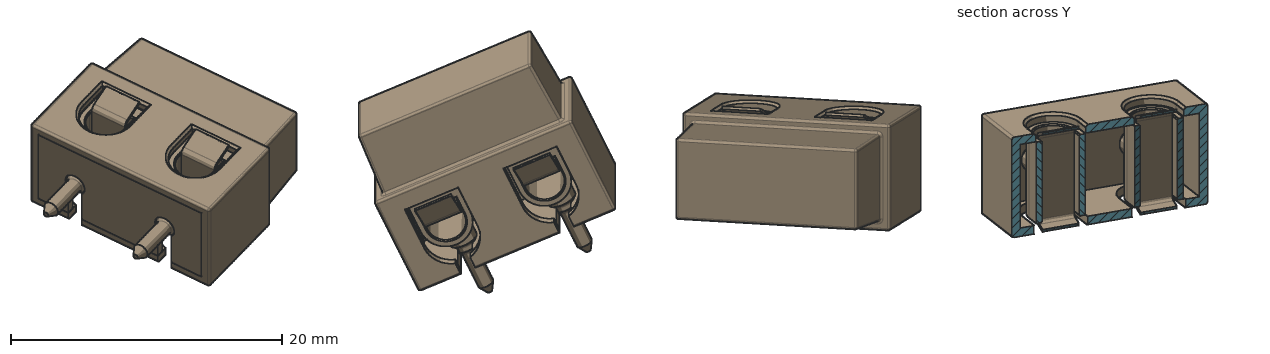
import cadquery as cq
import math


BLOCK_X = 16.0
BLOCK_Y = 8.0
BLOCK_Z = 8.0
EDGE_R = 0.2

NOSE_LENGTH = 5.0
NOSE_BASE_X = 14.52
NOSE_BASE_Z = 6.59
NOSE_DRAFT = 3.0

WALL = 0.7
CAVITY_X = BLOCK_X - 2 * WALL
CAVITY_Z = BLOCK_Z - 2 * WALL
CAVITY_BACK_Y = BLOCK_Y - WALL
COVER_T = 0.59

PITCH = BLOCK_X / 2
POLE_XS = (-PITCH / 2, PITCH / 2)
CONTACT_LIFTS = (-0.03, 0.05)
ARC_Y = 4.03

MOUTH_R = 2.0
MOUTH_FLAT_Y = 6.52
MOUTH_CHAMFER = 0.2
LOADING_R = 2.17
LOADING_ARC_Y = 3.09

TUBE_HALF_Z = 3.25
BORE_R = 1.5
BORE_FLAT_Y = 5.48
BORE_CHAMFER = 0.1
PIN_R = 0.6
PIN_TIP_R = 0.2
PIN_SHOULDER_Y = -3.1
PIN_TIP_Y = -3.8
FLARE_START_Y = -0.07
COLLAR_R = 0.85
COLLAR_FOOT_R = 0.2
SLOT_X = 1.2

GUARD_X = 2.95
GUARD_FRONT_Y = 4.33
GUARD_T = 0.2
GUARD_BEND_R = 0.52
GUARD_TILT = 20.6
GUARD_TIP_Y = 6.23
GUARD_TIP_Z = 4.28


def d_prism(z_from, height, radius, flat_y, arc_y=ARC_Y, taper=0):
    """D-shaped prism: round towards -Y, flat on the +Y side."""
    return (
        cq.Workplane("XY", origin=(0, 0, z_from))
        .moveTo(-radius, flat_y)
        .lineTo(-radius, arc_y)
        .threePointArc((0, arc_y - radius), (radius, arc_y))
        .lineTo(radius, flat_y)
        .close()
        .extrude(height, taper=taper)
    )


def flared_d_opening(half_z, radius, flat_y, chamfer):
    """D-shaped cutter from Z = 0 up to half_z, with a 45 degree chamfer around its upper rim."""
    straight = d_prism(0, half_z, radius, flat_y)
    flare = d_prism(half_z, -chamfer, radius + chamfer, flat_y + chamfer, taper=45)
    return straight.union(flare)


def insertion_slot(y_to, z_top):
    """Cutter for the slot that runs from the underside up to z_top, and forward to y_to."""
    half_z = BLOCK_Z / 2
    return cq.Workplane("XY", origin=(0, 0, -half_z)).box(
        SLOT_X, y_to, half_z + z_top, centered=(True, False, False)
    )


def make_housing():
    block = cq.Workplane("XZ").rect(BLOCK_X, BLOCK_Z).extrude(-BLOCK_Y).edges().fillet(EDGE_R)
    nose = (
        cq.Workplane("XZ", origin=(0, BLOCK_Y, 0))
        .rect(NOSE_BASE_X, NOSE_BASE_Z)
        .extrude(-NOSE_LENGTH, taper=NOSE_DRAFT)
        .edges("not <Y")
        .fillet(EDGE_R)
    )
    housing = block.union(nose)
    foot_edges = cq.selectors.BoxSelector(
        (-NOSE_BASE_X / 2 - EDGE_R, BLOCK_Y - EDGE_R, -NOSE_BASE_Z / 2 - EDGE_R),
        (NOSE_BASE_X / 2 + EDGE_R, BLOCK_Y + EDGE_R, NOSE_BASE_Z / 2 + EDGE_R),
    )
    housing = housing.edges(foot_edges).fillet(EDGE_R)
    housing = housing.cut(cq.Workplane("XZ").rect(CAVITY_X, CAVITY_Z).extrude(-CAVITY_BACK_Y))

    half_z = BLOCK_Z / 2
    mouth = flared_d_opening(half_z, MOUTH_R, MOUTH_FLAT_Y, MOUTH_CHAMFER)
    loading_opening = d_prism(-half_z, half_z, LOADING_R, MOUTH_FLAT_Y, LOADING_ARC_Y)
    slot = insertion_slot(LOADING_ARC_Y, 0)
    for x in POLE_XS:
        for cutter in (mouth, loading_opening, slot):
            housing = housing.cut(cutter.translate((x, 0, 0)))
    return housing


def make_cover():
    cover = cq.Workplane("XZ").rect(CAVITY_X, CAVITY_Z).extrude(-COVER_T)
    for x, lift in zip(POLE_XS, CONTACT_LIFTS):
        collar_hole = cq.Workplane("XZ", origin=(x, 0, lift)).circle(COLLAR_R).extrude(-COVER_T)
        cover = cover.cut(collar_hole).cut(insertion_slot(COVER_T, lift).translate((x, 0, 0)))
    return cover


def make_contact(x, lift):
    tube = d_prism(-TUBE_HALF_Z, 2 * TUBE_HALF_Z, MOUTH_R, MOUTH_FLAT_Y)
    upper_bore = flared_d_opening(TUBE_HALF_Z, BORE_R, BORE_FLAT_Y, BORE_CHAMFER)
    bore = upper_bore.union(upper_bore.mirror("XY"))

    flare_r = COLLAR_R - PIN_R
    flare_end_y = FLARE_START_Y + flare_r
    shank_r = COLLAR_R + COLLAR_FOOT_R
    shank_y = COVER_T + COLLAR_FOOT_R
    half_root = math.sqrt(0.5)
    pin = (
        cq.Workplane("ZY")
        .moveTo(0, PIN_TIP_Y)
        .lineTo(PIN_TIP_R, PIN_TIP_Y)
        .lineTo(PIN_R, PIN_SHOULDER_Y)
        .lineTo(PIN_R, FLARE_START_Y)
        .threePointArc(
            (COLLAR_R - flare_r * half_root, FLARE_START_Y + flare_r * half_root),
            (COLLAR_R, flare_end_y),
        )
        .lineTo(COLLAR_R, COVER_T)
        .threePointArc(
            (shank_r - COLLAR_FOOT_R * half_root, COVER_T + COLLAR_FOOT_R * half_root),
            (shank_r, shank_y),
        )
        .lineTo(shank_r, ARC_Y)
        .lineTo(0, ARC_Y)
        .close()
        .revolve(360, (0, 0, 0), (0, 1, 0))
    )
    return tube.union(pin).cut(bore).translate((x, 0, lift))


def make_guard(x):
    tilt = math.radians(GUARD_TILT)
    turn = math.pi / 2 - tilt
    tip_y = GUARD_TIP_Y
    bend_y = GUARD_FRONT_Y + GUARD_BEND_R
    bend_end_y = bend_y - GUARD_BEND_R * math.cos(turn)
    bend_end_z = GUARD_TIP_Z - (tip_y - bend_end_y) * math.tan(tilt)
    bend_z = bend_end_z - GUARD_BEND_R * math.sin(turn)
    inner_r = GUARD_BEND_R - GUARD_T

    def on_bend(radius, angle):
        return (bend_y - radius * math.cos(angle), bend_z + radius * math.sin(angle))

    upper = (
        cq.Workplane("YZ")
        .moveTo(GUARD_FRONT_Y, 0)
        .lineTo(GUARD_FRONT_Y, bend_z)
        .threePointArc(on_bend(GUARD_BEND_R, turn / 2), on_bend(GUARD_BEND_R, turn))
        .lineTo(tip_y, GUARD_TIP_Z)
        .lineTo(tip_y + GUARD_T * math.sin(tilt), GUARD_TIP_Z - GUARD_T * math.cos(tilt))
        .lineTo(*on_bend(inner_r, turn))
        .threePointArc(on_bend(inner_r, turn / 2), on_bend(inner_r, 0))
        .lineTo(GUARD_FRONT_Y + GUARD_T, 0)
        .close()
        .extrude(GUARD_X / 2, both=True)
    )
    return upper.union(upper.mirror("XY")).translate((x, 0, 0))


housing = make_housing()
cover = make_cover()
contacts = [make_contact(x, lift) for x, lift in zip(POLE_XS, CONTACT_LIFTS)]
guards = [make_guard(x) for x in POLE_XS]

bodies = [housing, cover, *contacts, *guards]
result = cq.Compound.makeCompound([body.val() for body in bodies])